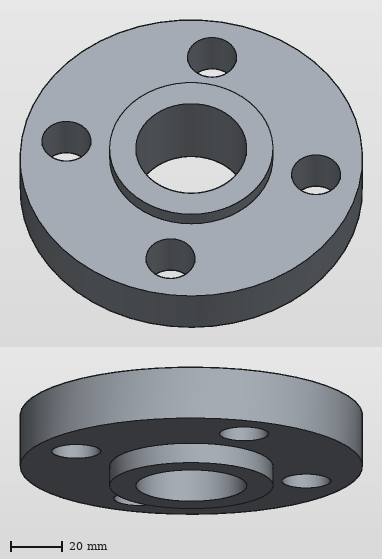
import cadquery as cq

flange_diameter = 133.4
flange_thickness = 20.7

hub_diameter = 63.6
hub_height_above = 6.3
hub_height_below = 7.9
bore_diameter = 43.2

bolt_hole_diameter = 19.1
bolt_circle_diameter = 98.5
bolt_hole_count = 4
first_bolt_angle = 45.0

hub_height = hub_height_below + flange_thickness + hub_height_above
flange_bottom = -flange_thickness / 2
hub_bottom = flange_bottom - hub_height_below


def cylinder(diameter, height, bottom):
    """Upright cylinder on the Z axis, starting at the given height."""
    return cq.Workplane("XY").workplane(offset=bottom).circle(diameter / 2).extrude(height)


flange = cylinder(flange_diameter, flange_thickness, flange_bottom)
hub = cylinder(hub_diameter, hub_height, hub_bottom)
bore = cylinder(bore_diameter, hub_height, hub_bottom)

bolt_holes = (
    cq.Workplane("XY")
    .workplane(offset=flange_bottom)
    .polarArray(bolt_circle_diameter / 2, first_bolt_angle, 360, bolt_hole_count)
    .circle(bolt_hole_diameter / 2)
    .extrude(flange_thickness)
)

result = flange.union(hub).cut(bore).cut(bolt_holes)